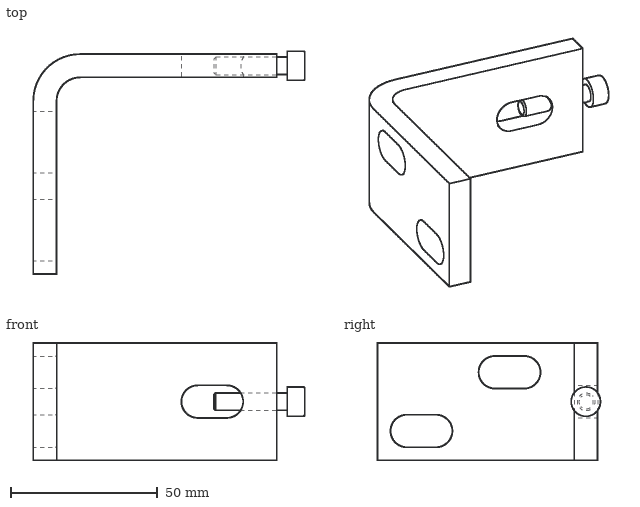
import cadquery as cq
import math

thickness = 8.0
height = 40.0
long_leg = 83.0
short_leg = 75.0
bend_inner_radius = 8.0
bend_outer_radius = bend_inner_radius + thickness

slot_length = 21.0
slot_width = 11.0
slot_end_distance = 22.0
long_leg_slot_x = long_leg - slot_end_distance
mid_height = height / 2
slot_edge_distance = 10.0
short_leg_slots = [
    (-30.0, height - slot_edge_distance),
    (-60.0, slot_edge_distance),
]

screw_y = -thickness / 2
shank_diameter = 6.0
shank_length = 25.0
shank_chamfer = 0.6
head_diameter = 10.0
head_height = 6.0
head_fillet = 0.5
head_gap = 3.5
head_x = long_leg + head_gap
tip_x = head_x - shank_length


def cylinder_along_x(start_x, length, diameter):
    """Cylinder on the screw axis, running in +X from start_x."""
    plane = cq.Workplane("YZ", origin=(start_x, screw_y, mid_height))
    return plane.circle(diameter / 2).extrude(length)


def make_bent_bar():
    diagonal = math.sqrt(0.5)
    outer_mid = bend_outer_radius - bend_outer_radius * diagonal
    inner_mid = bend_outer_radius - bend_inner_radius * diagonal
    return (
        cq.Workplane("XY")
        .moveTo(0, -short_leg)
        .lineTo(0, -bend_outer_radius)
        .threePointArc((outer_mid, -outer_mid), (bend_outer_radius, 0))
        .lineTo(long_leg, 0)
        .lineTo(long_leg, -thickness)
        .lineTo(bend_outer_radius, -thickness)
        .threePointArc((inner_mid, -inner_mid), (thickness, -bend_outer_radius))
        .lineTo(thickness, -short_leg)
        .close()
        .extrude(height)
    )


def make_bracket():
    long_leg_slot = (
        cq.Workplane("XZ", origin=(long_leg_slot_x, 0, mid_height))
        .slot2D(slot_length, slot_width)
        .extrude(thickness)
    )
    short_leg_slot_cut = (
        cq.Workplane("YZ")
        .pushPoints(short_leg_slots)
        .slot2D(slot_length, slot_width)
        .extrude(thickness)
    )
    screw_hole = cylinder_along_x(long_leg_slot_x, slot_end_distance, shank_diameter)
    return make_bent_bar().cut(long_leg_slot).cut(short_leg_slot_cut).cut(screw_hole)


def make_screw():
    shank = cylinder_along_x(tip_x, shank_length, shank_diameter).faces("<X").chamfer(shank_chamfer)
    head = cylinder_along_x(head_x, head_height, head_diameter).faces(">X").edges().fillet(head_fillet)
    return shank.union(head)


bracket = make_bracket()
screw = make_screw()

result = cq.Compound.makeCompound([bracket.val(), screw.val()])